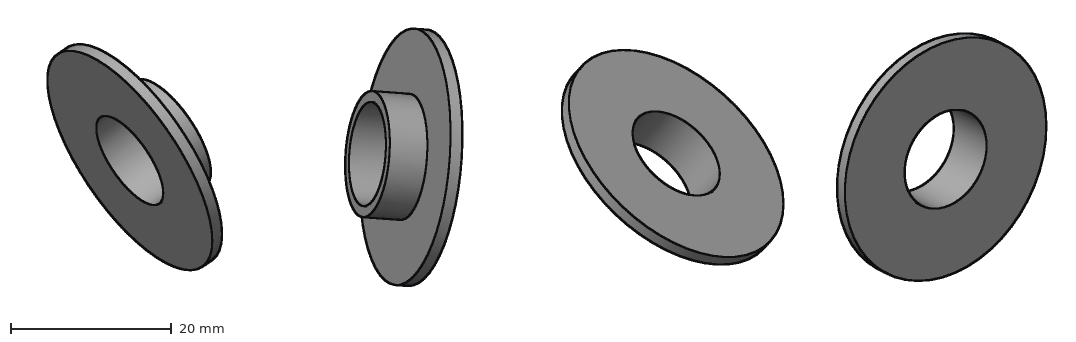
import cadquery as cq

flange_diameter = 32.0
flange_thickness = 1.6
hub_diameter = 15.75
bore_diameter = 13.0
total_length = 6.6


def disc(diameter, length):
    """Solid cylinder running from Y = 0 toward +Y."""
    return cq.Workplane("XZ").circle(diameter / 2).extrude(-length)


flange = disc(flange_diameter, flange_thickness)
hub = disc(hub_diameter, total_length)
bore = disc(bore_diameter, total_length)

result = flange.union(hub).cut(bore)